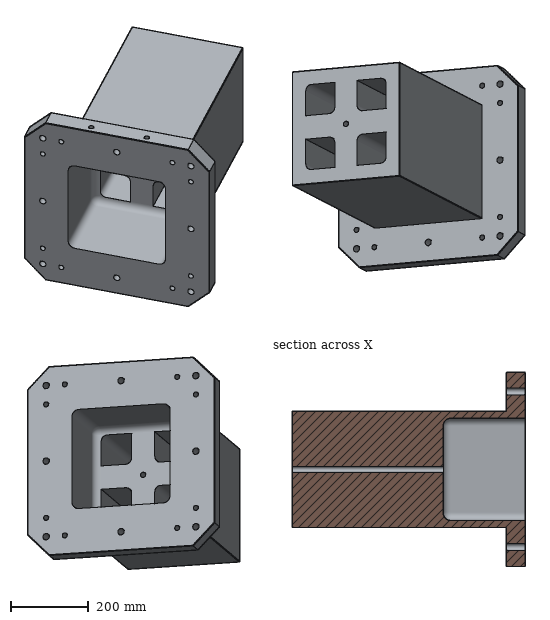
import cadquery as cq
import math

length = 600.0
flange_size = 500.0
flange_thickness = 50.0
flange_corner_cut = 57.5
column_size = 300.0
edge_chamfer = 2.0

floor_size = 224.0
pocket_radius = 19.0
pocket_size = floor_size + 2 * pocket_radius
pocket_depth = 211.0

cross_width = 62.0
window_radius = 16.0
center_hole_diameter = 14.0

hole_offset = 200.0
tapped_offset = 150.0
bolt_hole_diameter = 17.0
tapped_hole_diameter = 13.0

lifting_hole_offset = 75.0
lifting_hole_setback = 18.5
lifting_hole_diameter = 13.0
lifting_hole_depth = 30.0
drill_point_angle = 118.0


def square_block(size, start, depth):
    """Square block centred on the Y axis, running from y = start towards +Y."""
    return cq.Workplane("XY").box(size, depth, size).translate((0, start + depth / 2, 0))


def cylinders_along_y(centers, diameter, depth):
    """Cylinders running from the flange face towards +Y at the given (x, z) centres."""
    plane = cq.Workplane(cq.Plane(origin=(0, 0, 0), xDir=(1, 0, 0), normal=(0, -1, 0)))
    return plane.pushPoints(centers).circle(diameter / 2).extrude(-depth)


def make_flange():
    flange = square_block(flange_size, 0, flange_thickness)
    flange = flange.edges("|Y").chamfer(flange_corner_cut)
    return flange.faces("<Y or >Y").edges().chamfer(edge_chamfer)


def make_column():
    overlap = flange_thickness / 2
    start = flange_thickness - overlap
    column = square_block(column_size, start, length - start)
    return column.edges("|Y").chamfer(edge_chamfer).faces(">Y").edges().chamfer(edge_chamfer)


def make_pocket():
    pocket = square_block(pocket_size, 0, pocket_depth)
    return pocket.edges("|Y or >Y").fillet(pocket_radius)


def make_cross():
    """Cross of two equal arms with rounded inner corners, as long as the part."""
    arm = cq.Workplane("XY").box(floor_size, length, cross_width)
    cross = arm.union(arm.rotate((0, 0, 0), (0, 1, 0), 90))
    reach = cross_width
    inner_corners = cq.selectors.BoxSelector((-reach, -reach, -reach), (reach, reach, reach))
    cross = cross.edges("|Y").edges(inner_corners).fillet(window_radius)
    return cross.translate((0, length / 2, 0))


def make_windows():
    """Four square openings left around the cross."""
    passage = square_block(floor_size, 0, length).edges("|Y").fillet(window_radius)
    return passage.cut(make_cross())


def make_lifting_hole(x):
    radius = lifting_hole_diameter / 2
    point_length = radius / math.tan(math.radians(drill_point_angle / 2))
    hole = (
        cq.Workplane("XZ")
        .lineTo(radius, 0)
        .lineTo(radius, -lifting_hole_depth)
        .lineTo(0, -lifting_hole_depth - point_length)
        .close()
        .revolve(360, (0, 0), (0, 1))
    )
    return hole.translate((x, lifting_hole_setback, flange_size / 2))


bolt_centers = []
for x in (-hole_offset, 0, hole_offset):
    for z in (-hole_offset, 0, hole_offset):
        if (x, z) != (0, 0):
            bolt_centers.append((x, z))

tapped_centers = []
for x_sign in (-1, 1):
    for z_sign in (-1, 1):
        tapped_centers.append((x_sign * tapped_offset, z_sign * hole_offset))
        tapped_centers.append((x_sign * hole_offset, z_sign * tapped_offset))

result = make_flange().union(make_column())
result = result.cut(make_pocket()).cut(make_windows())
result = result.cut(cylinders_along_y([(0, 0)], center_hole_diameter, length))
result = result.cut(cylinders_along_y(bolt_centers, bolt_hole_diameter, flange_thickness))
result = result.cut(cylinders_along_y(tapped_centers, tapped_hole_diameter, flange_thickness))
for x in (-lifting_hole_offset, lifting_hole_offset):
    result = result.cut(make_lifting_hole(x))